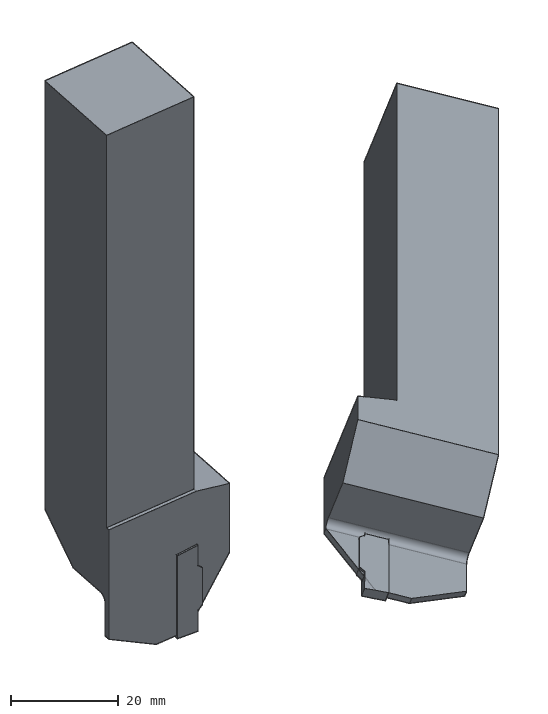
import cadquery as cq
import math

SHANK_SIZE = 19.8
TOOL_LENGTH = 126.4

HEAD_WIDTH = 20.6
HEAD_DEPTH = 27.4
HEAD_TOP = 33.1
SHOULDER_Z = 31.5
HEAD_UNDERSIDE_Z = 16.5
BEVEL_TOP_Z = 24.5
BEVEL_BOTTOM_X = 9.1

BLADE_X = 19.3
BLADE_FILLET = 1.5
BLADE_BOTTOM_Z = 0.9
BLADE_BACK_Z = 15.2
BLADE_BOTTOM_BACK_Y = 18.0
BLADE_BOTTOM_FRONT_Y = 10.7
BLADE_FRONT_Z = 7.1

INSERT_X = 19.0
INSERT_WIDTH = 2.0
INSERT_FRONT_Y = 15.3
INSERT_TIP_Y = 20.0
INSERT_MIDDLE_Y = 21.0
INSERT_LENGTH = 20.5
INSERT_TIP_LENGTH = 4.9
INSERT_STEP_SLOPE = 0.9
INSERT_TIP_RELIEF = 0.4

FACET_BOTTOM_Y = 17.8
FACET_TOP_Z = 3.3
FACET_ANGLE = 3.0
FACET_CUTTER_SIZE = 7.6


def make_facet_cutter():
    """Slightly tilted block whose face cuts the relief facet."""
    facet_depth = INSERT_TIP_Y - FACET_BOTTOM_Y
    edge_length = math.hypot(facet_depth, FACET_TOP_Z)
    tilt = math.sin(math.radians(FACET_ANGLE))
    facing = (
        -math.cos(math.radians(FACET_ANGLE)),
        tilt * FACET_TOP_Z / edge_length,
        -tilt * facet_depth / edge_length,
    )
    facet_plane = cq.Plane(
        origin=(INSERT_X, FACET_BOTTOM_Y, 0),
        xDir=(0, facet_depth, FACET_TOP_Z),
        normal=facing,
    )
    return cq.Workplane(facet_plane).rect(2 * FACET_CUTTER_SIZE, FACET_CUTTER_SIZE).extrude(INSERT_WIDTH)


def make_insert():
    """Cutting insert with a sharp tip at each end and a deeper middle."""
    middle_start = INSERT_TIP_LENGTH + INSERT_STEP_SLOPE
    outline = [
        (INSERT_FRONT_Y, INSERT_TIP_RELIEF),
        (INSERT_TIP_Y, 0),
        (INSERT_TIP_Y, INSERT_TIP_LENGTH),
        (INSERT_MIDDLE_Y, middle_start),
        (INSERT_MIDDLE_Y, INSERT_LENGTH - middle_start),
        (INSERT_TIP_Y, INSERT_LENGTH - INSERT_TIP_LENGTH),
        (INSERT_TIP_Y, INSERT_LENGTH),
        (INSERT_FRONT_Y, INSERT_LENGTH - INSERT_TIP_RELIEF),
    ]
    body = (
        cq.Workplane("YZ", origin=(INSERT_X, 0, 0))
        .polyline(outline).close().extrude(INSERT_WIDTH)
    )
    return body.cut(make_facet_cutter())


def make_head():
    """Bevelled head and blade: the X-Z outline trimmed to the Y-Z outline."""
    front_outline = (
        cq.Workplane("XZ")
        .moveTo(0, HEAD_TOP)
        .lineTo(0, BEVEL_TOP_Z)
        .lineTo(BEVEL_BOTTOM_X, HEAD_UNDERSIDE_Z)
        .lineTo(BLADE_X - BLADE_FILLET, HEAD_UNDERSIDE_Z)
        .radiusArc((BLADE_X, HEAD_UNDERSIDE_Z - BLADE_FILLET), BLADE_FILLET)
        .lineTo(BLADE_X, BLADE_BOTTOM_Z)
        .lineTo(HEAD_WIDTH, BLADE_BOTTOM_Z)
        .lineTo(HEAD_WIDTH, HEAD_TOP)
        .close().extrude(-HEAD_DEPTH)
    )
    side_outline = [
        (0, HEAD_TOP),
        (SHANK_SIZE, HEAD_TOP),
        (HEAD_DEPTH, SHOULDER_Z),
        (HEAD_DEPTH, BLADE_BACK_Z),
        (BLADE_BOTTOM_BACK_Y, BLADE_BOTTOM_Z),
        (BLADE_BOTTOM_FRONT_Y, BLADE_BOTTOM_Z),
        (0, BLADE_FRONT_Z),
    ]
    side_profile = cq.Workplane("YZ").polyline(side_outline).close().extrude(HEAD_WIDTH)
    return front_outline.intersect(side_profile)


def make_holder(insert):
    """Shank and head in one piece, with a pocket that fits the insert."""
    shank = (
        cq.Workplane("XY", origin=(0, 0, HEAD_TOP))
        .rect(SHANK_SIZE, SHANK_SIZE).extrude(TOOL_LENGTH - HEAD_TOP)
        .translate((SHANK_SIZE / 2, SHANK_SIZE / 2, 0))
    )
    return shank.union(make_head()).cut(insert)


insert = make_insert()
holder = make_holder(insert)

result = cq.Compound.makeCompound([holder.val(), insert.val()])